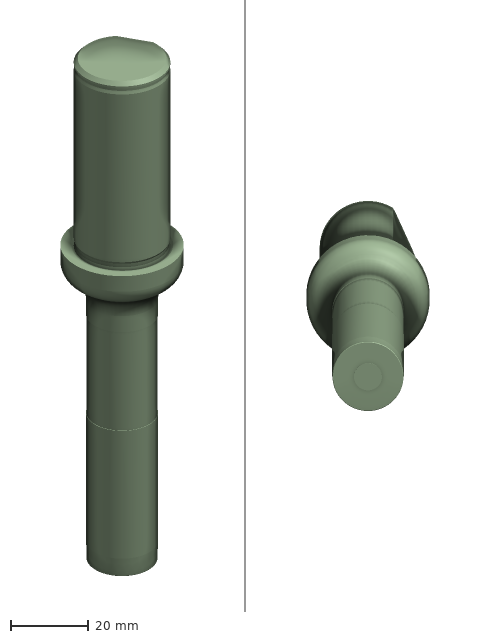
import cadquery as cq
import math

total_height = 151
tip_top_z = 5.7
sleeve_top_z = 44.2
body_top_z = 74
neck_top_z = 78.8
flare_top_z = 90.1
flange_top_z = 94.8

sleeve_radius = 18.7 / 2
body_radius = 18.4 / 2
flange_radius = 32.0 / 2
shank_radius = 25.0 / 2
groove_radius = 24.5 / 2

top_chamfer_width = 1.0
top_chamfer_height = 1.0
collar_bottom_z = 149.3
groove_bottom_z = 148.5
shank_top_z = 147.5
shank_bottom_z = 97.0
shank_bottom_chamfer = 0.6
undercut_radius = 13.3
undercut_floor_radius = 12.5
undercut_depth = 0.3
undercut_cone_height = 0.5
flat_offset = 10.3
flat_bottom_z = 101.3

tip_radius = 9.2
tip_taper_bottom_z = 1.5
tip_chamfer = 0.2
bottom_boss_radius = 3.6
bottom_boss_height = 0.3

flare_width = flange_radius - sleeve_radius
flare_height = flare_top_z - neck_top_z
flare_angle = 2 * math.atan(flare_width / flare_height)
convex_radius = 5.5
concave_radius = flare_height / math.sin(flare_angle) - convex_radius


def convex_point(angle):
    """Point on the convex arc, with the angle turned from the flange side."""
    return (
        flange_radius - convex_radius * (1 - math.cos(angle)),
        flare_top_z - convex_radius * math.sin(angle),
    )


def concave_point(angle):
    """Point on the concave arc, with the angle turned from the neck side."""
    return (
        sleeve_radius + concave_radius * (1 - math.cos(angle)),
        neck_top_z + concave_radius * math.sin(angle),
    )


def make_holder():
    """Upper body: neck, flare, flange and grooved shank with a flat."""
    profile = (
        cq.Workplane("XZ")
        .moveTo(0, sleeve_top_z)
        .lineTo(body_radius, sleeve_top_z)
        .lineTo(body_radius, body_top_z)
        .lineTo(sleeve_radius, body_top_z)
        .lineTo(sleeve_radius, neck_top_z)
        .threePointArc(concave_point(flare_angle / 2), concave_point(flare_angle))
        .threePointArc(convex_point(flare_angle / 2), convex_point(0))
        .lineTo(flange_radius, flange_top_z)
        .lineTo(undercut_radius, flange_top_z)
        .lineTo(undercut_floor_radius, flange_top_z - undercut_depth)
        .lineTo(groove_radius, flange_top_z + undercut_cone_height)
        .lineTo(groove_radius, shank_bottom_z - shank_bottom_chamfer)
        .lineTo(shank_radius, shank_bottom_z)
        .lineTo(shank_radius, shank_top_z)
        .lineTo(groove_radius, groove_bottom_z)
        .lineTo(groove_radius, collar_bottom_z)
        .lineTo(shank_radius, collar_bottom_z)
        .lineTo(shank_radius, total_height - top_chamfer_height)
        .lineTo(shank_radius - top_chamfer_width, total_height)
        .lineTo(0, total_height)
        .close()
    )
    holder = profile.revolve(360, (0, 0, 0), (0, 1, 0))
    return holder.cut(make_flat_cutter())


def make_flat_cutter():
    """Wedge-ended block that cuts the +Y flat and its 45 degree run-out."""
    cut_depth = flange_radius - flat_offset
    return (
        cq.Workplane("YZ")
        .moveTo(flat_offset, total_height)
        .lineTo(flat_offset, flat_bottom_z)
        .lineTo(flange_radius, flat_bottom_z - cut_depth)
        .lineTo(flange_radius, total_height)
        .close()
        .extrude(flange_radius, both=True)
    )


def make_sleeve():
    """Lower body: cylinder with a slightly tapered, chamfered tip and a slim bottom boss."""
    profile = (
        cq.Workplane("XZ")
        .lineTo(bottom_boss_radius, 0)
        .lineTo(bottom_boss_radius, bottom_boss_height)
        .lineTo(tip_radius - tip_chamfer, bottom_boss_height)
        .lineTo(tip_radius, bottom_boss_height + tip_chamfer)
        .lineTo(tip_radius, tip_taper_bottom_z)
        .lineTo(sleeve_radius, tip_top_z)
        .lineTo(sleeve_radius, sleeve_top_z)
        .lineTo(0, sleeve_top_z)
        .close()
    )
    return profile.revolve(360, (0, 0, 0), (0, 1, 0))


holder = make_holder()
sleeve = make_sleeve()
result = cq.Compound.makeCompound([holder.val(), sleeve.val()])